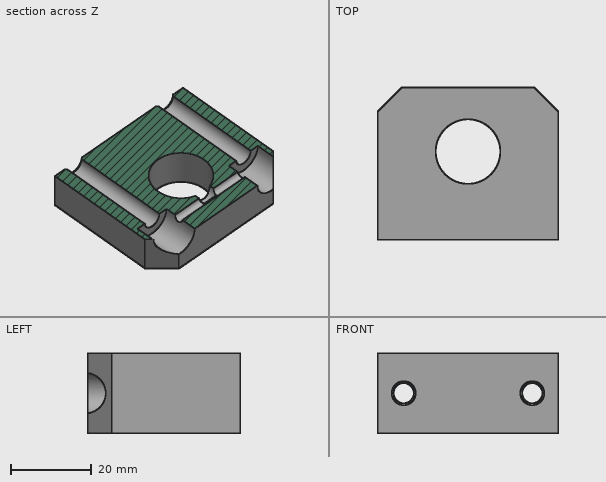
import cadquery as cq

width = 45.0
depth = 38.0
height = 20.0
corner_chamfer = 6.0

bore_diameter = 16.0
bore_from_front = 22.0

screw_spacing = 32.0
screw_diameter = 5.0
countersink_diameter = 6.0
counterbore_diameter = 10.0
counterbore_depth = 10.0

bore_passage_diameter = 5.0
cross_passage_diameter = 2.5
cross_passage_from_front = 32.25


def make_block():
    block = cq.Workplane("XY").box(width, depth, height, centered=(True, False, True))
    return block.edges("|Z and >Y").chamfer(corner_chamfer)


def make_bore():
    bore = cq.Workplane("XY").circle(bore_diameter / 2).extrude(height)
    return bore.translate((0, bore_from_front, -height / 2))


def make_screw_hole(x):
    """Through hole, countersunk at 45 degrees in front and counterbored at the back."""
    screw_radius = screw_diameter / 2
    countersink_radius = countersink_diameter / 2
    countersink_depth = countersink_radius - screw_radius
    counterbore_radius = counterbore_diameter / 2
    counterbore_floor = depth - counterbore_depth
    half_profile = (
        cq.Workplane("XY")
        .lineTo(countersink_radius, 0)
        .lineTo(screw_radius, countersink_depth)
        .lineTo(screw_radius, counterbore_floor)
        .lineTo(counterbore_radius, counterbore_floor)
        .lineTo(counterbore_radius, depth)
        .lineTo(0, depth)
        .close()
    )
    return half_profile.revolve(360, (0, 0, 0), (0, 1, 0)).translate((x, 0, 0))


def make_cross_passage():
    """Tunnel along X, ending on the axes of the two counterbores."""
    tunnel = cq.Workplane("YZ").circle(cross_passage_diameter / 2).extrude(screw_spacing)
    return tunnel.translate((-screw_spacing / 2, cross_passage_from_front, 0))


def make_bore_passage():
    """Tunnel along Y from the bore axis to the axis of the cross passage."""
    length = cross_passage_from_front - bore_from_front
    tunnel = cq.Workplane("XZ").circle(bore_passage_diameter / 2).extrude(-length)
    return tunnel.translate((0, bore_from_front, 0))


result = make_block().cut(make_bore())
for side in (-1, 1):
    result = result.cut(make_screw_hole(side * screw_spacing / 2))
result = result.cut(make_cross_passage()).cut(make_bore_passage())